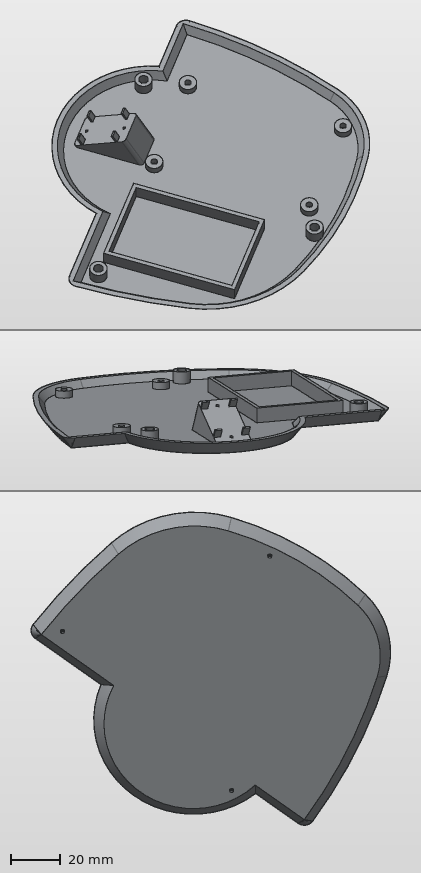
import cadquery as cq
import math

tray_height = 5.2
floor_thickness = 2.1
flare_angle = 38.7
rim_to_base_inset = 1.9
straight_edge_x = -30.5
upper_corner_y = 67.9
lobe_center_x = -22.6
lobe_center_y = 5.8
lobe_radius = 37.9
rim_arc_radii = [214.6, 32.7, 129.1, 47.4, 256.8]
rim_joint_bearings = [math.radians(angle) for angle in (1.16, 19.9, 81.5, 109.3, 169.2)]

post_diameter = 7.0
short_post_top = 5.0
tall_post_top = 7.0
short_post_bore = 2.53
tall_post_bore = 3.8
screw_hole_diameter = 1.62
short_post_center = (13.9, 20.0)
short_post_spacing_x = 66.1
short_post_spacing_y = 41.7
tall_post_places = [(-36.1, 35.1), (53.1, -12.1), (-22.5, -60.0)]

frame_length = 55.8
frame_width = 37.0
frame_wall = 1.7
frame_top = 8.2
frame_center = (5.2, -34.5)

wedge_tilt = 30.0
wedge_length = 25.3
wedge_width = 15.0
wedge_corner_radius = 1.5
wedge_center = (-42.0, 5.1, 9.0)
pin_hole_diameter = 1.22
pin_hole_depth = 2.0
pin_hole_spacing = 18.5
tab_spacing = 16.8
tab_thickness = 0.8
tab_width = 2.9
tab_height = 3.7


def on_circle(center, radius, bearing):
    """Point of a circle at a bearing measured clockwise from +Y."""
    return (center[0] + radius * math.sin(bearing), center[1] + radius * math.cos(bearing))


def rim_arc_centers():
    """Centers of the chain of tangent arcs, walked clockwise from the upper corner."""
    start_bearing = rim_joint_bearings[0]
    first_reach = rim_arc_radii[0] * math.sin(start_bearing)
    first_drop = rim_arc_radii[0] * math.cos(start_bearing)
    centers = [(straight_edge_x - first_reach, upper_corner_y - first_drop)]
    for index in range(1, len(rim_arc_radii)):
        radius_change = rim_arc_radii[index - 1] - rim_arc_radii[index]
        centers.append(on_circle(centers[-1], radius_change, rim_joint_bearings[index]))
    return centers


def body_outline(inset, plane_z):
    """Main part of the rim outline drawn in by `inset`: tangent arcs closed by the straight left edge."""
    centers = rim_arc_centers()
    radii = [radius - inset for radius in rim_arc_radii]
    edge_x = straight_edge_x + inset
    first_bearing = math.asin((edge_x - centers[0][0]) / radii[0])
    last_bearing = math.pi - math.asin((edge_x - centers[-1][0]) / radii[-1])
    bearings = [first_bearing, *rim_joint_bearings[1:], last_bearing]
    start = on_circle(centers[0], radii[0], first_bearing)
    outline = cq.Workplane("XY", origin=(0, 0, plane_z)).moveTo(*start)
    for center, radius, begin, end in zip(centers, radii, bearings, bearings[1:]):
        outline = outline.threePointArc(
            on_circle(center, radius, (begin + end) / 2), on_circle(center, radius, end)
        )
    return outline.close()


def lobe_outline(radius, plane_z):
    return cq.Workplane("XY", origin=(lobe_center_x, lobe_center_y, plane_z)).circle(radius)


def make_dish():
    """Solid flared dish; its base is the rim outline drawn in, and its flare rounds the two corners."""
    body = body_outline(rim_to_base_inset, 0).extrude(tray_height, taper=-flare_angle)
    lobe = lobe_outline(lobe_radius - rim_to_base_inset, 0).extrude(tray_height, taper=-flare_angle)
    return body.union(lobe)


def make_cavity():
    """Space above the floor, narrowing downward with sharp corners."""
    depth = tray_height - floor_thickness
    body = body_outline(0, tray_height).extrude(-depth, taper=flare_angle)
    lobe = lobe_outline(lobe_radius, tray_height).extrude(-depth, taper=flare_angle)
    return body.union(lobe)


def make_tray():
    screw_holes = (
        cq.Workplane("XY")
        .pushPoints(tall_post_places)
        .circle(screw_hole_diameter / 2)
        .extrude(floor_thickness)
    )
    return make_dish().cut(make_cavity()).cut(screw_holes)


def make_post(place, top, bore):
    return (
        cq.Workplane("XY", origin=(*place, floor_thickness))
        .circle(post_diameter / 2)
        .circle(bore / 2)
        .extrude(top - floor_thickness)
    )


def make_frame():
    return (
        cq.Workplane("XY", origin=(*frame_center, floor_thickness))
        .rect(frame_length, frame_width)
        .rect(frame_length - 2 * frame_wall, frame_width - 2 * frame_wall)
        .extrude(frame_top - floor_thickness)
    )


def make_wedge():
    tilt = math.radians(wedge_tilt)
    slope = cq.Plane(
        origin=wedge_center,
        xDir=(math.cos(tilt), 0, math.sin(tilt)),
        normal=(-math.sin(tilt), 0, math.cos(tilt)),
    )
    block = (
        cq.Workplane(slope)
        .rect(wedge_length, wedge_width)
        .extrude(-wedge_length)
        .edges(cq.selectors.ParallelDirSelector(slope.zDir))
        .fillet(wedge_corner_radius)
    )
    pin_holes = (
        cq.Workplane(slope)
        .rarray(pin_hole_spacing, 1, 2, 1)
        .circle(pin_hole_diameter / 2)
        .extrude(-pin_hole_depth)
    )
    tabs = (
        cq.Workplane(slope)
        .rarray(tab_spacing, wedge_width - tab_width, 2, 2)
        .rect(tab_thickness, tab_width)
        .extrude(tab_height)
    )
    below_floor = (
        cq.Workplane("XY", origin=(wedge_center[0], wedge_center[1], floor_thickness))
        .rect(4 * wedge_length, 4 * wedge_length)
        .extrude(-2 * wedge_length)
    )
    return block.cut(pin_holes).union(tabs).cut(below_floor)


tray = make_tray()
frame = make_frame()
wedge = make_wedge()

short_posts = [
    make_post(
        (
            short_post_center[0] + side_x * short_post_spacing_x / 2,
            short_post_center[1] + side_y * short_post_spacing_y / 2,
        ),
        short_post_top,
        short_post_bore,
    )
    for side_x in (-1, 1)
    for side_y in (-1, 1)
]
tall_posts = [make_post(place, tall_post_top, tall_post_bore) for place in tall_post_places]

posts = [post.val() for post in short_posts + tall_posts]
result = cq.Compound.makeCompound([tray.val(), frame.val(), wedge.val(), *posts])